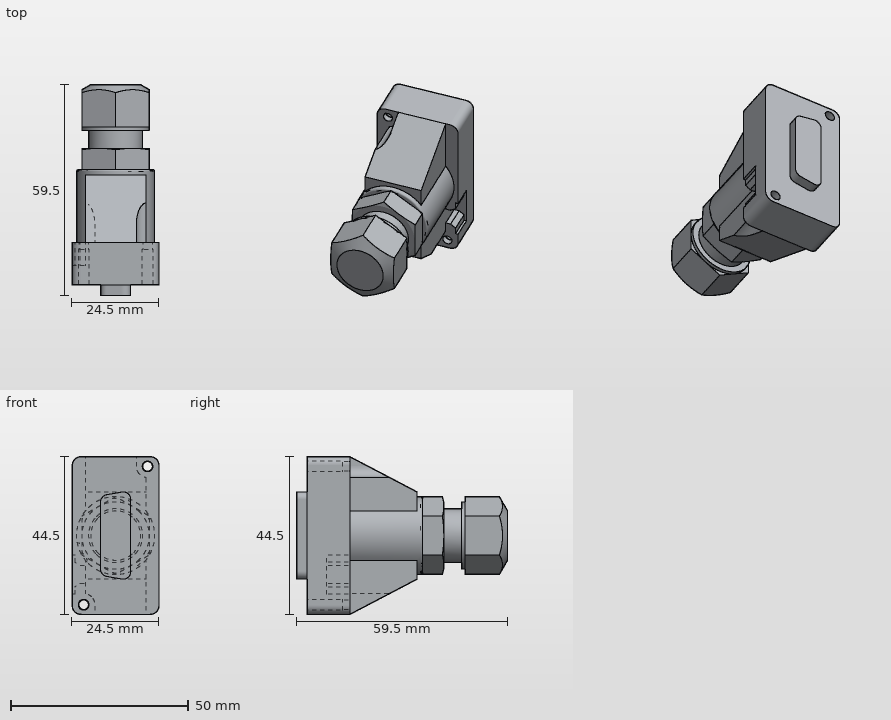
import cadquery as cq
import math

plug_length = 3.0
flange_thickness = 12.0
shoulder_length = 19.0
barrel_length = 20.5
gland_hex_length = 6.0
neck_length = 5.0
washer_thickness = 1.0
nut_length = 12.0

flange_width = 24.5
flange_height = 44.5
flange_corner_radius = 2.5

plug_width = 8.5
plug_height_wide = 25.4
plug_side_angle = 10.0
plug_corner_radius = 2.1

shoulder_width = 17.0
shoulder_end_height = 24.6
barrel_diameter = 22.0
barrel_edge_radius = 0.5

across_flats = 19.0
neck_diameter = 15.2
nut_crown_radius = 7.0
nut_crown_angle = 30.0
gland_hex_chamfer_angle = 15.0

screw_x = 9.0
screw_z = 19.5
screw_hole_diameter = 2.7
screw_clearance_diameter = 3.0
screw_lip_thickness = 2.0
screw_relief_radius = 3.15

recess_center_z = -11.0
recess_length = 6.5
recess_height = 11.0
recess_ledge_depth = 0.75
recess_slope_outer_height = 7.0
recess_floor_height = 5.0
recess_slope_depth = 1.5

flange_back = flange_thickness
shoulder_end = flange_back + shoulder_length
barrel_end = flange_back + barrel_length
gland_hex_end = barrel_end + gland_hex_length
neck_end = gland_hex_end + neck_length
washer_end = neck_end + washer_thickness
nut_end = washer_end + nut_length

hex_sides = 6
hex_half_angle = 180 / hex_sides
across_corners = across_flats / math.cos(math.radians(hex_half_angle))


def section_at(y):
    """Workplane at station y facing +Y, with local x along -X and local y along +Z."""
    return cq.Workplane("XZ", origin=(0, y, 0)).transformed(rotate=(0, 180, 0))


def cylinder(diameter, start, end):
    return section_at(start).circle(diameter / 2).extrude(end - start)


def make_flange():
    block = section_at(0).rect(flange_width, flange_height).extrude(flange_thickness)
    return block.edges("|Y").fillet(flange_corner_radius)


def make_plug():
    half_width = plug_width / 2
    half_wide = plug_height_wide / 2
    half_narrow = half_wide - plug_width * math.tan(math.radians(plug_side_angle))
    outline = [
        (half_width, half_wide),
        (half_width, -half_wide),
        (-half_width, -half_narrow),
        (-half_width, half_narrow),
    ]
    shell = cq.Workplane("XZ").polyline(outline).close().extrude(plug_length)
    return shell.edges("|Y").fillet(plug_corner_radius)


def make_shoulders():
    """Tapered block, cleared around the two screw heads."""
    half_base = flange_height / 2
    half_end = shoulder_end_height / 2
    outline = [
        (flange_back, -half_base),
        (shoulder_end, -half_end),
        (shoulder_end, half_end),
        (flange_back, half_base),
    ]
    block = cq.Workplane("YZ").polyline(outline).close().extrude(shoulder_width / 2, both=True)
    for side in (1, -1):
        block = block.cut(make_screw_relief(side))
    return block


def make_screw_relief(side):
    """U-shaped channel around a screw, open towards the outer end of the flange."""
    plane = cq.Workplane("XZ", origin=(side * screw_x, flange_back, side * screw_z))
    round_end = plane.circle(screw_relief_radius).extrude(-shoulder_length)
    channel_width = 2 * screw_relief_radius
    channel = plane.center(0, side * screw_relief_radius).rect(channel_width, channel_width)
    channel = channel.extrude(-shoulder_length)
    return round_end.union(channel)


def make_barrel():
    barrel = cylinder(barrel_diameter, flange_back, barrel_end)
    return barrel.faces(">Y").edges().fillet(barrel_edge_radius)


def make_hex(start, end, crown_radius, crown_angle):
    """Hexagon with corners along Z whose +Y end is turned to a cone."""
    prism = section_at(start).polygon(hex_sides, across_corners).extrude(end - start)
    prism = prism.rotate((0, 0, 0), (0, 1, 0), hex_half_angle)
    corner_radius = across_corners / 2
    cone_height = (corner_radius - crown_radius) * math.tan(math.radians(crown_angle))
    profile = [
        (0, start),
        (corner_radius, start),
        (corner_radius, end - cone_height),
        (crown_radius, end),
        (0, end),
    ]
    envelope = cq.Workplane("XY").polyline(profile).close().revolve(360, (0, 0, 0), (0, 1, 0))
    return prism.intersect(envelope)


def make_gland():
    gland = make_hex(barrel_end, gland_hex_end, across_flats / 2, gland_hex_chamfer_angle)
    gland = gland.union(cylinder(neck_diameter, gland_hex_end, neck_end))
    gland = gland.union(cylinder(across_flats, neck_end, washer_end))
    return gland.union(make_hex(washer_end, nut_end, nut_crown_radius, nut_crown_angle))


def make_screw_hole(side):
    """Through hole, wider on the plug side and narrowed by a lip at the flange back."""
    plane = cq.Workplane("XZ", origin=(side * screw_x, 0, side * screw_z))
    hole = plane.circle(screw_hole_diameter / 2).extrude(-flange_thickness)
    clearance_depth = flange_thickness - screw_lip_thickness
    return hole.union(plane.circle(screw_clearance_diameter / 2).extrude(-clearance_depth))


def make_side_recess():
    """Stepped recess with sloped inner sides; its floor is flush with the shoulder side."""
    face_x = -flange_width / 2
    ledge_x = face_x + recess_ledge_depth
    slope_end_x = ledge_x + recess_slope_depth
    floor_x = -shoulder_width / 2
    upper = [
        (face_x, recess_height / 2),
        (ledge_x, recess_height / 2),
        (ledge_x, recess_slope_outer_height / 2),
        (slope_end_x, recess_floor_height / 2),
        (floor_x, recess_floor_height / 2),
    ]
    lower = [(x, -z) for x, z in reversed(upper)]
    plane = cq.Workplane("XZ", origin=(0, flange_back, recess_center_z))
    return plane.polyline(upper + lower).close().extrude(recess_length)


result = make_flange()
for piece in (make_plug(), make_shoulders(), make_barrel(), make_gland()):
    result = result.union(piece)
for side in (1, -1):
    result = result.cut(make_screw_hole(side))
result = result.cut(make_side_recess())